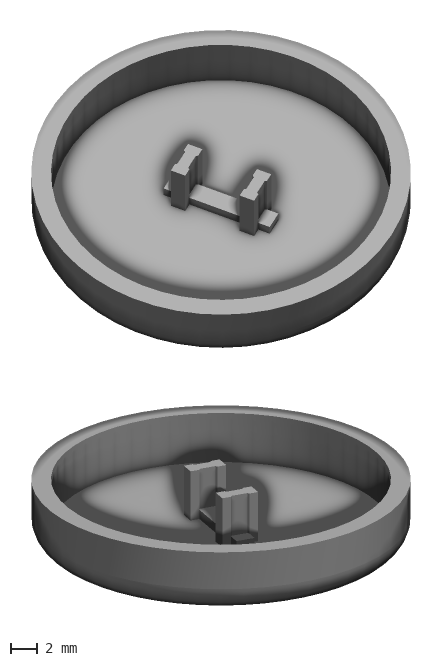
import cadquery as cq

outer_diameter = 28.5
cavity_diameter = 25.53
cup_height = 5.0
floor_thickness = 1.0
bottom_fillet = 2.0

bar_length = 8.85
bar_width = 1.5
bar_height = 0.75

post_outer_span = 6.95
post_thickness = 1.2
post_width = 2.95
post_height = cup_height - floor_thickness

groove_depth = 0.15
groove_mouth_width = bar_width
groove_wall_run = 0.1
groove_floor_width = groove_mouth_width - 2 * groove_wall_run


def make_cup():
    body = cq.Workplane("XY").circle(outer_diameter / 2).extrude(cup_height)
    body = body.faces("<Z").edges().fillet(bottom_fillet)
    cavity = (
        cq.Workplane("XY", origin=(0, 0, floor_thickness))
        .circle(cavity_diameter / 2)
        .extrude(cup_height - floor_thickness)
    )
    return body.cut(cavity)


def make_crossbar():
    return (
        cq.Workplane("XY", origin=(0, 0, floor_thickness))
        .box(bar_length, bar_width, bar_height, centered=(True, True, False))
    )


def make_post():
    """Post on the +X side, with a groove in its inner and outer face."""
    outer_x = post_outer_span / 2
    inner_x = outer_x - post_thickness
    half_width = post_width / 2
    half_mouth = groove_mouth_width / 2
    half_floor = groove_floor_width / 2
    return (
        cq.Workplane("XY", origin=(0, 0, floor_thickness))
        .moveTo(inner_x, -half_width)
        .lineTo(outer_x, -half_width)
        .lineTo(outer_x, -half_mouth)
        .lineTo(outer_x - groove_depth, -half_floor)
        .lineTo(outer_x - groove_depth, half_floor)
        .lineTo(outer_x, half_mouth)
        .lineTo(outer_x, half_width)
        .lineTo(inner_x, half_width)
        .lineTo(inner_x, half_mouth)
        .lineTo(inner_x + groove_depth, half_floor)
        .lineTo(inner_x + groove_depth, -half_floor)
        .lineTo(inner_x, -half_mouth)
        .close()
        .extrude(post_height)
    )


post = make_post()

result = make_cup().union(make_crossbar()).union(post).union(post.mirror("YZ"))